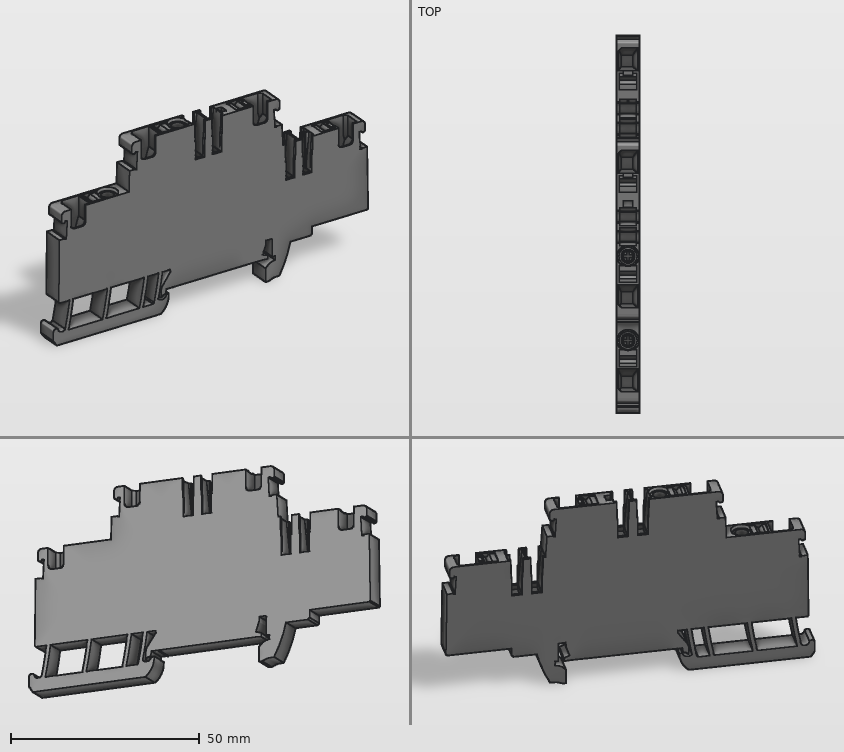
import cadquery as cq
import math

WIDTH = 6.1
HALF_WIDTH = WIDTH / 2
LEFT_END = 49.9
RIGHT_END = -48.4
FOOT_END = -50.1
UPPER_TOP = 53.6
LOWER_TOP = 39.3
HOUSING_BOTTOM = 12.4
RAIL_SEAT = 6.9

UPPER_LEFT_LIP = 21.8
UPPER_RIGHT_LIP = -25.2
LOWER_LEFT_LIP = 48.9
LOWER_RIGHT_LIP = -47.5
SHOULDER_OUT = 0.7
SHOULDER_DROP = 8.1
LIP_ROUNDING = 1.2

SLOT_PAIR_UPPER = -0.8
SLOT_PAIR_LOWER = 27.9
SLOT_DEPTH = 10.7
SLOT_STEP_DEPTH = 5.3
DIVIDER_HALF = 1.0
SLOT_WIDTH = 3.4
SLOT_NARROWING = 0.3
SOCKET_WIDTH = 4.5
SOCKET_GAP = 0.5
SOCKET_LENGTH = 4.8
SOCKET_FLOOR_LENGTH = 2.4
SOCKET_DEPTH = 12.0
RIB_THICKNESS = 0.5
RIB_LENGTH = 1.0
NOTCH_WIDTH = 2.4
NOTCH_LENGTH = 1.6
NOTCH_DEPTH = 1.5
NOTCH_WALL = 0.2

ENTRY_LENGTH = 6.1
ENTRY_HALF_WIDTH = 2.6
ENTRY_CORNER = 0.9
ENTRY_SILL = 6.0
ENTRY_DEPTH = 10.0
ENTRY_FLOOR = 3.1
ENTRY_FLOOR_X = -0.3
ENTRY_FLOOR_Y = -0.4
ENTRY_RETURN = 1.5
OPENING_ROUNDING = 1.2
LEFT_ENTRY_INSET = 2.3
RIGHT_ENTRY_INSET = 3.0

RECESS_GAP = 0.6
RECESS_LENGTH = 4.4
RECESS_WIDTH = 4.7
RECESS_DEPTH = 0.4
GROOVE_START = 0.9
GROOVE_LENGTH = 2.0
GROOVE_DEPTH = 1.4
TAB_WIDTH = 2.4
TAB_REACH = 0.5
TAB_DROP = 0.2

SCREW_TO_LIP = 16.6
WELL_RADIUS = 2.9
WELL_SEAT_RADIUS = 2.4
WELL_SEAT_DEPTH = 0.8
SCREW_RADIUS = 1.8
SCREW_DEPTH = 3.0
HEAD_RADIUS = 1.4
HEAD_SINK = 0.4
CROSS_LENGTH = 2.4
CROSS_WIDTH = 0.7
CROSS_DEPTH = 1.0

FOOT_TOP = 3.7
STRUT_TOPS = (-15.4, -20.0, -31.7, -43.7)
STRUT_THICKNESS = 1.2
STRUT_LEAN = 1.7
STRUT_BOW = 0.1


def plate(points):
    """Full-width plate with the given Y-Z outline."""
    return cq.Workplane("YZ").polyline(points).close().extrude(HALF_WIDTH, both=True)


def lip_outline(lip, top, side):
    """Lip, undercut and shoulder from the shoulder up; side is +1 at the +Y end, -1 at the -Y end."""
    undercut = top - 3.3
    shoulder = top - SHOULDER_DROP
    inward = [
        (-SHOULDER_OUT, shoulder), (1.0, shoulder), (1.1, shoulder - 0.2), (1.5, shoulder - 0.2),
        (1.8, undercut + 0.2), (1.3, undercut + 0.3), (0.8, undercut - 0.2), (0.2, undercut),
        (0.0, undercut + 0.3), (0.0, top),
    ]
    return [(lip - side * depth, z) for depth, z in inward]


def housing():
    """Two-level body with its rail claw and rail seat."""
    upper_step_left = UPPER_LEFT_LIP + SHOULDER_OUT + 0.4
    upper_step_right = UPPER_RIGHT_LIP - SHOULDER_OUT - 0.2
    corner = 0.3
    left_side = [(LEFT_END - corner, HOUSING_BOTTOM), (LEFT_END, HOUSING_BOTTOM + corner)]
    left_rows = (
        lip_outline(LOWER_LEFT_LIP, LOWER_TOP, 1)
        + [(upper_step_left, LOWER_TOP)]
        + lip_outline(UPPER_LEFT_LIP, UPPER_TOP, 1)
    )
    right_rows = (
        lip_outline(UPPER_RIGHT_LIP, UPPER_TOP, -1)[::-1]
        + [(upper_step_right, LOWER_TOP)]
        + lip_outline(LOWER_RIGHT_LIP, LOWER_TOP, -1)[::-1]
    )
    right_side = [(RIGHT_END, HOUSING_BOTTOM + corner), (RIGHT_END + corner, HOUSING_BOTTOM)]
    rail_hook = [
        (-13.0, HOUSING_BOTTOM), (-12.9, 11.8), (-15.5, 8.2), (-15.9, 7.2), (-15.9, 4.8),
        (-15.1, 5.4), (-14.4, 5.6), (-14.2, RAIL_SEAT),
    ]
    rail_nose = [
        (-12.2, RAIL_SEAT), (-12.2, RAIL_SEAT - 0.2), (-12.0, RAIL_SEAT), (16.4, RAIL_SEAT),
        (17.9, RAIL_SEAT - 0.1), (17.9, 7.8), (16.4, 8.4), (17.3, 11.0), (17.4, HOUSING_BOTTOM),
    ]
    return (
        cq.Workplane("YZ")
        .polyline(left_side + left_rows + right_rows + right_side + rail_hook + rail_nose)
        .lineTo(19.2, HOUSING_BOTTOM)
        .lineTo(19.4, HOUSING_BOTTOM - 0.3)
        .lineTo(19.4, 7.0)
        .lineTo(20.3, 7.0)
        .lineTo(20.3, 5.8)
        .threePointArc((18.5, 5.2), (17.3, 4.1))
        .lineTo(17.3, 0.0)
        .lineTo(18.2, 0.0)
        .lineTo(19.8, 0.6)
        .lineTo(21.7, 0.7)
        .threePointArc((22.6, 2.4), (25.2, 9.8))
        .lineTo(31.6, 9.8)
        .lineTo(32.1, 10.3)
        .lineTo(32.1, HOUSING_BOTTOM)
        .close()
        .extrude(HALF_WIDTH, both=True)
    )


def lip_rounding(lip, top, side):
    """Corner piece outside the rounded top edge of a lip."""
    inner = lip - side * LIP_ROUNDING
    bulge = LIP_ROUNDING * (1 - math.sqrt(0.5))
    return (
        cq.Workplane("YZ")
        .moveTo(lip, top)
        .lineTo(inner, top)
        .threePointArc((lip - side * bulge, top - bulge), (lip, top - LIP_ROUNDING))
        .close()
        .extrude(HALF_WIDTH, both=True)
    )


def foot_bar():
    """Bar below the -Y half of the housing, with an upturned tip."""
    return (
        cq.Workplane("YZ")
        .moveTo(-13.4, 5.4)
        .threePointArc((-14.1, 2.2), (-16.0, 0.0))
        .lineTo(FOOT_END + 1.1, 0.0)
        .lineTo(FOOT_END, 1.6)
        .lineTo(FOOT_END, 4.4)
        .threePointArc((FOOT_END + 0.7, 5.1), (FOOT_END + 1.5, 4.8))
        .threePointArc((-47.5, FOOT_TOP), (-46.2, 4.6))
        .lineTo(-45.6, FOOT_TOP)
        .lineTo(-18.5, FOOT_TOP)
        .lineTo(-17.0, 5.0)
        .threePointArc((-15.7, 4.2), (-14.2, 5.3))
        .close()
        .extrude(HALF_WIDTH, both=True)
    )


def strut(top_y):
    """Slightly curved strut between the housing and the foot bar."""
    overlap = 0.5
    top = HOUSING_BOTTOM + overlap
    bottom = FOOT_TOP - overlap
    middle = (top + bottom) / 2
    middle_y = top_y - STRUT_LEAN / 2 + STRUT_BOW
    bottom_y = top_y - STRUT_LEAN
    return (
        cq.Workplane("YZ")
        .moveTo(top_y, top)
        .threePointArc((middle_y, middle), (bottom_y, bottom))
        .lineTo(bottom_y - STRUT_THICKNESS, bottom)
        .threePointArc((middle_y - STRUT_THICKNESS, middle), (top_y - STRUT_THICKNESS, top))
        .close()
        .extrude(HALF_WIDTH, both=True)
    )


def bridge_slot(centre, top, side):
    """Stepped slot through the plate plus the wider tapered socket inside it."""
    near = DIVIDER_HALF
    far = near + SLOT_WIDTH
    step = top - SLOT_STEP_DEPTH
    bottom = top - SLOT_DEPTH
    profile = [
        (near, top), (near + SLOT_NARROWING / 2, step), (near + SLOT_NARROWING, step),
        (near + SLOT_NARROWING, bottom), (far - SLOT_NARROWING, bottom),
        (far - SLOT_NARROWING, step), (far - SLOT_NARROWING / 2, step), (far, top),
    ]
    slot = plate([(centre + side * y, z) for y, z in profile])
    socket_near = SOCKET_GAP / 2
    floor_near = socket_near + (SOCKET_LENGTH - SOCKET_FLOOR_LENGTH) / 2
    socket_profile = [
        (socket_near, top), (floor_near, top - SOCKET_DEPTH),
        (floor_near + SOCKET_FLOOR_LENGTH, top - SOCKET_DEPTH),
        (socket_near + SOCKET_LENGTH, top),
    ]
    socket = (
        cq.Workplane("YZ")
        .polyline([(centre + side * y, z) for y, z in socket_profile])
        .close()
        .extrude(SOCKET_WIDTH / 2, both=True)
    )
    return slot.union(socket)


def block(x_size, y_start, y_length, z_top, depth):
    """Box centred in X that reaches down from z_top and starts at y_start."""
    return (
        cq.Workplane("XY", origin=(0, y_start + y_length / 2, z_top - depth))
        .rect(x_size, y_length)
        .extrude(depth)
    )


def wire_entry(outer, top, side):
    """Upright shaft open toward +X, tapering below to a square floor."""
    y_low = min(outer, outer - side * ENTRY_LENGTH)
    y_high = y_low + ENTRY_LENGTH
    half = ENTRY_HALF_WIDTH
    y_inner = outer - side * ENTRY_LENGTH
    corners = [
        (half, y_inner), (half, outer), (ENTRY_CORNER - half, outer),
        (-half, outer - side * ENTRY_CORNER), (-half, y_inner),
    ]
    mouth = cq.Sketch().polygon(corners + corners[:1])
    shaft = cq.Workplane("XY", origin=(0, 0, top)).placeSketch(mouth).extrude(-ENTRY_SILL)
    surround = cq.Workplane("XY", origin=(0, 0, top)).placeSketch(mouth).extrude(-ENTRY_DEPTH)
    y_middle = (y_low + y_high) / 2
    funnel = (
        cq.Workplane("XY", origin=(0, y_middle, top - ENTRY_SILL))
        .rect(2 * half, ENTRY_LENGTH)
        .workplane(offset=ENTRY_SILL - ENTRY_DEPTH)
        .center(ENTRY_FLOOR_X, ENTRY_FLOOR_Y)
        .rect(ENTRY_FLOOR, ENTRY_FLOOR)
        .loft(combine=True)
        .intersect(surround)
    )
    opening = block(HALF_WIDTH, y_low, ENTRY_LENGTH - ENTRY_RETURN, top, ENTRY_SILL)
    opening = opening.faces("<Z").edges("|X").fillet(OPENING_ROUNDING)
    return shaft.union(funnel).union(opening.translate((HALF_WIDTH / 2, 0, 0)))


def clamp_recess(entry_side, top, side):
    """Shallow recess with a V groove across its floor."""
    floor = top - RECESS_DEPTH
    groove_end = GROOVE_START + GROOVE_LENGTH
    profile = [
        (0, top), (0, floor), (GROOVE_START, floor),
        ((GROOVE_START + groove_end) / 2, top - GROOVE_DEPTH),
        (groove_end, floor), (RECESS_LENGTH, floor), (RECESS_LENGTH, top),
    ]
    return (
        cq.Workplane("YZ")
        .polyline([(entry_side - side * y, z) for y, z in profile])
        .close()
        .extrude(RECESS_WIDTH / 2, both=True)
    )


def screw_well(centre, top):
    """Countersunk well with a cross-recessed screw head at its bottom."""
    head = top - SCREW_DEPTH - HEAD_SINK
    well = (
        cq.Workplane("XZ")
        .polyline([
            (0, top), (WELL_RADIUS, top), (WELL_SEAT_RADIUS, top - WELL_SEAT_DEPTH),
            (SCREW_RADIUS, top - WELL_SEAT_DEPTH), (SCREW_RADIUS, top - SCREW_DEPTH),
            (HEAD_RADIUS, top - SCREW_DEPTH), (HEAD_RADIUS, head), (0, head),
        ])
        .close()
        .revolve(360, (0, 0), (0, 1))
        .translate((0, centre, 0))
    )
    along_y = block(CROSS_WIDTH, centre - CROSS_LENGTH / 2, CROSS_LENGTH, head, CROSS_DEPTH)
    along_x = block(CROSS_LENGTH, centre - CROSS_WIDTH / 2, CROSS_WIDTH, head, CROSS_DEPTH)
    return well.union(along_y).union(along_x)


result = housing().union(foot_bar())
for strut_top in STRUT_TOPS:
    result = result.union(strut(strut_top))

for pair_centre, level in ((SLOT_PAIR_UPPER, UPPER_TOP), (SLOT_PAIR_LOWER, LOWER_TOP)):
    for direction in (1, -1):
        result = result.cut(bridge_slot(pair_centre, level, direction))

socket_end = SOCKET_GAP / 2 + SOCKET_LENGTH
rib_start = SLOT_PAIR_LOWER + socket_end - RIB_LENGTH
result = result.union(block(RIB_THICKNESS, rib_start, RIB_LENGTH, LOWER_TOP, SOCKET_DEPTH))
notch_start = SLOT_PAIR_UPPER + socket_end + NOTCH_WALL
result = result.cut(block(NOTCH_WIDTH, notch_start, NOTCH_LENGTH, UPPER_TOP, NOTCH_DEPTH))

terminals = (
    (UPPER_LEFT_LIP, UPPER_TOP, 1),
    (LOWER_LEFT_LIP, LOWER_TOP, 1),
    (UPPER_RIGHT_LIP, UPPER_TOP, -1),
    (LOWER_RIGHT_LIP, LOWER_TOP, -1),
)
for lip_face, level, direction in terminals:
    inset = LEFT_ENTRY_INSET if direction > 0 else RIGHT_ENTRY_INSET
    entry_outer = lip_face - direction * inset
    result = result.cut(lip_rounding(lip_face, level, direction))
    result = result.cut(wire_entry(entry_outer, level, direction))
    recess_start = entry_outer - direction * (ENTRY_LENGTH + RECESS_GAP)
    result = result.cut(clamp_recess(recess_start, level, direction))
    if direction > 0:
        result = result.cut(block(TAB_WIDTH, recess_start, RECESS_GAP, level, TAB_DROP))
        tab_height = RECESS_DEPTH - TAB_DROP
        tab_start = recess_start - TAB_REACH
        result = result.union(block(TAB_WIDTH, tab_start, TAB_REACH, level - TAB_DROP, tab_height))
    else:
        result = result.cut(screw_well(lip_face + SCREW_TO_LIP, level))